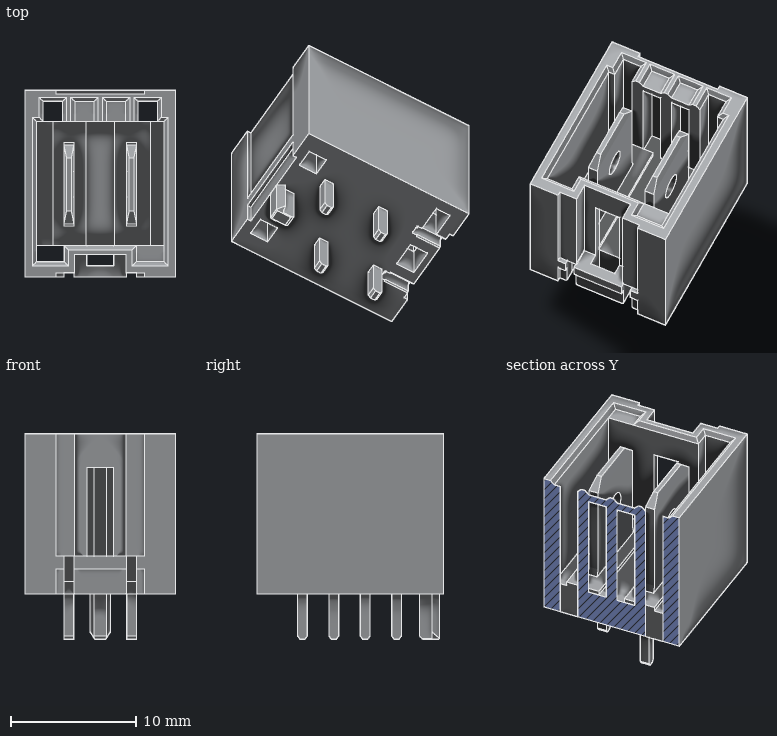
import cadquery as cq

WIDTH = 12.0
LENGTH = 14.9
HEIGHT = 12.8
FRONT = -LENGTH / 2
BACK = LENGTH / 2

CAVITY_HALF_X = 5.08
CAVITY_HALF_Y = 4.95
CORNER_FRONT = -6.23
RIM_CHAMFER = 0.33
FLOOR_TOP = 2.8
PLATFORM_TOP = 3.15
PLATFORMS = [(-3.78, -1.13), (1.13, 3.99)]

POCKET_COUNT = 4
POCKET_PITCH = 2.52
POCKET_WIDTH = 1.54
POCKET_BACK = 6.54
POCKET_ROOF = 0.71

LATCH_OUTER_HALF = 2.88
LATCH_INNER_HALF = 2.04
LATCH_BACK = -5.67
SILL_TOP = 3.03
SILL_BACK = -6.55
WINDOW_HALF = 1.07
WINDOW_TOP = 10.1

RECESS_HALF = 3.53
RECESS_DEPTH = 0.33
BAND_BOTTOM = 2.0

SLOT_INNER = 2.11
SLOT_OUTER = 2.87
SLOT_STEP = 1.03
SLOT_GROOVE_END = -4.5
SLOT_MOUTH_CHAMFER = 0.12

BLADE_X = 2.5
BLADE_Y = -0.06
METAL = 0.8
BLADE_LENGTH = 6.3
BLADE_SHOULDER = 11.35
BLADE_TOP = 12.25
BLADE_TIP_WIDTH = 0.38
BLADE_TIP_LENGTH = 4.22
BLADE_FOOT_LENGTH = 6.68
BLADE_FOOT_TOP = 3.75
BLADE_HOLE_DIAMETER = 2.0
BLADE_HOLE_Z = 8.1
PIN_COUNT = 4
PIN_PITCH = 2.5
PIN_LENGTH = 3.6
PIN_TIP_HEIGHT = 0.28
PIN_TIP_INSET = 0.2

PEG_FRONT = 5.51
PEG_WIDEST = 6.51
PEG_BACK = 7.13
PEG_HALF = 0.82
PEG_FLAT_HALF = 0.48
PEG_TIP_HALF = 0.43
PEG_SIDE_TIP_HEIGHT = 0.6
PEG_FRONT_TIP = 0.27
PEG_BACK_TIP = 0.1


def block(x0, x1, y0, y1, z0, z1):
    """Box given by its limits along each axis."""
    return cq.Workplane("XY").box(x1 - x0, y1 - y0, z1 - z0, centered=False).translate((x0, y0, z0))


def prism(x0, x1, y0, y1, z0, z1, top_grow_x, top_grow_y):
    """Block whose sides slope so that its top grows (or shrinks, if negative) by a margin."""
    x_mid = (x0 + x1) / 2
    y_mid = (y0 + y1) / 2
    return (
        cq.Workplane("XY", origin=(x_mid, y_mid, z0))
        .rect(x1 - x0, y1 - y0)
        .workplane(offset=z1 - z0)
        .rect(x1 - x0 + 2 * top_grow_x, y1 - y0 + 2 * top_grow_y)
        .loft(ruled=True)
    )


def rim(x0, x1, y0, y1):
    """Flared mouth of a rectangular opening in the top face."""
    return prism(x0, x1, y0, y1, HEIGHT - RIM_CHAMFER, HEIGHT, RIM_CHAMFER, RIM_CHAMFER)


def cut_cavity(body):
    """Main cavity, the open corner at -X and the shallow corner at +X beside the latch."""
    rim_bottom = HEIGHT - RIM_CHAMFER
    main = (-CAVITY_HALF_X, CAVITY_HALF_X, -CAVITY_HALF_Y, CAVITY_HALF_Y)
    open_corner = (-CAVITY_HALF_X, -LATCH_OUTER_HALF, CORNER_FRONT, -CAVITY_HALF_Y)
    shallow_corner = (LATCH_OUTER_HALF, CAVITY_HALF_X, CORNER_FRONT, 0)
    body = body.cut(block(*main, FLOOR_TOP, HEIGHT))
    body = body.cut(block(*open_corner, 0, HEIGHT))
    row_half = ((POCKET_COUNT - 1) * POCKET_PITCH + POCKET_WIDTH) / 2
    ribs = block(-row_half, row_half, CAVITY_HALF_Y, BACK, rim_bottom, HEIGHT)
    body = body.cut(rim(*main).cut(ribs))
    body = body.cut(rim(-CAVITY_HALF_X, -LATCH_OUTER_HALF, CORNER_FRONT, 0))
    body = body.cut(rim(*shallow_corner))
    for x0, x1 in PLATFORMS:
        body = body.union(block(x0, x1, -CAVITY_HALF_Y, CAVITY_HALF_Y, FLOOR_TOP, PLATFORM_TOP))
    return body


def cut_pockets(body):
    """Four flared pockets: the outer two run right through, the inner two are roofed slots."""
    for index in range(POCKET_COUNT):
        x_mid = (index - (POCKET_COUNT - 1) / 2) * POCKET_PITCH
        x0 = x_mid - POCKET_WIDTH / 2
        x1 = x_mid + POCKET_WIDTH / 2
        is_outer = index in (0, POCKET_COUNT - 1)
        z0 = 0 if is_outer else FLOOR_TOP
        z1 = HEIGHT if is_outer else HEIGHT - RIM_CHAMFER - POCKET_ROOF
        body = body.cut(block(x0, x1, CAVITY_HALF_Y, POCKET_BACK, z0, z1))
        body = body.cut(rim(x0, x1, 0, POCKET_BACK))
    return body


def cut_latch(body):
    """Latch recess above the sill, with the window into the cavity and the hole in the sill."""
    body = body.cut(block(-LATCH_INNER_HALF, LATCH_INNER_HALF, FRONT, LATCH_BACK, SILL_TOP, HEIGHT))
    body = body.cut(block(-WINDOW_HALF, WINDOW_HALF, LATCH_BACK, -CAVITY_HALF_Y, 0, WINDOW_TOP))
    return body.cut(block(-WINDOW_HALF, WINDOW_HALF, SILL_BACK, LATCH_BACK, 0, SILL_TOP))


def cut_outer_recesses(body):
    """Shallow recesses above and below the band, alike on both end walls."""
    for y0 in (FRONT, BACK - RECESS_DEPTH):
        for z0, z1 in ((0, BAND_BOTTOM), (SILL_TOP, HEIGHT)):
            body = body.cut(block(-RECESS_HALF, RECESS_HALF, y0, y0 + RECESS_DEPTH, z0, z1))
    return body


def cut_sill_slots(body):
    """Slots freeing both ends of the sill, running on as short grooves under the floor."""
    for x0, x1 in ((-SLOT_OUTER, -SLOT_INNER), (SLOT_INNER, SLOT_OUTER)):
        body = body.cut(block(x0, x1, FRONT, -CAVITY_HALF_Y, 0, SILL_TOP))
        body = body.cut(block(x0, x1, -CAVITY_HALF_Y, SLOT_GROOVE_END, 0, SLOT_STEP))
        mouth = (
            cq.Workplane("XZ", origin=(0, FRONT, 0))
            .polyline([
                (x0 - SLOT_MOUTH_CHAMFER, 0),
                (x1 + SLOT_MOUTH_CHAMFER, 0),
                (x1, SLOT_MOUTH_CHAMFER),
                (x0, SLOT_MOUTH_CHAMFER),
            ])
            .close()
            .extrude(FRONT + CAVITY_HALF_Y)
        )
        body = body.cut(mouth)
    return body


def make_blade(x_mid):
    """Upright blade with a sloped foot, a tapered tip and a round cross hole."""
    x0 = x_mid - METAL / 2
    x1 = x_mid + METAL / 2
    y0 = BLADE_Y - BLADE_LENGTH / 2
    y1 = BLADE_Y + BLADE_LENGTH / 2
    blade = block(x0, x1, y0, y1, FLOOR_TOP, BLADE_SHOULDER)
    foot_grow = (BLADE_LENGTH - BLADE_FOOT_LENGTH) / 2
    foot = prism(x0, x1, y0 + foot_grow, y1 - foot_grow, PLATFORM_TOP, BLADE_FOOT_TOP, 0, foot_grow)
    tip_grow_x = (BLADE_TIP_WIDTH - METAL) / 2
    tip_grow_y = (BLADE_TIP_LENGTH - BLADE_LENGTH) / 2
    tip = prism(x0, x1, y0, y1, BLADE_SHOULDER, BLADE_TOP, tip_grow_x, tip_grow_y)
    hole = (
        cq.Workplane("YZ", origin=(x0, BLADE_Y, BLADE_HOLE_Z))
        .circle(BLADE_HOLE_DIAMETER / 2)
        .extrude(METAL)
    )
    return blade.union(foot).union(tip).cut(hole)


def make_pin(x_mid, y_mid):
    """Square solder pin rising into the floor, its tip tapered along Y only."""
    x0 = x_mid - METAL / 2
    x1 = x_mid + METAL / 2
    y0 = y_mid - METAL / 2
    y1 = y_mid + METAL / 2
    tip_top = PIN_TIP_HEIGHT - PIN_LENGTH
    shank = block(x0, x1, y0, y1, tip_top, FLOOR_TOP)
    tip = prism(x0, x1, y0 + PIN_TIP_INSET, y1 - PIN_TIP_INSET, -PIN_LENGTH, tip_top, 0, PIN_TIP_INSET)
    return shank.union(tip)


def make_peg():
    """Locating peg, a rib flanked by two wedges, with a bevelled tip."""
    column = (
        cq.Workplane("XY", origin=(0, 0, -PIN_LENGTH))
        .polyline([
            (-PEG_FLAT_HALF, PEG_FRONT),
            (PEG_FLAT_HALF, PEG_FRONT),
            (PEG_FLAT_HALF, PEG_WIDEST),
            (PEG_HALF, PEG_WIDEST),
            (PEG_FLAT_HALF, PEG_BACK),
            (-PEG_FLAT_HALF, PEG_BACK),
            (-PEG_HALF, PEG_WIDEST),
            (-PEG_FLAT_HALF, PEG_WIDEST),
        ])
        .close()
        .extrude(PIN_LENGTH)
    )
    side_bevel_z = PEG_SIDE_TIP_HEIGHT - PIN_LENGTH
    face_outline = (
        cq.Workplane("XZ")
        .polyline([
            (-PEG_HALF, 0),
            (-PEG_HALF, side_bevel_z),
            (-PEG_TIP_HALF, -PIN_LENGTH),
            (PEG_TIP_HALF, -PIN_LENGTH),
            (PEG_HALF, side_bevel_z),
            (PEG_HALF, 0),
        ])
        .close()
        .extrude(-LENGTH)
    )
    side_outline = (
        cq.Workplane("YZ", origin=(-PEG_HALF, 0, 0))
        .polyline([
            (PEG_FRONT, 0),
            (PEG_FRONT, PEG_FRONT_TIP - PIN_LENGTH),
            (PEG_FRONT + PEG_FRONT_TIP, -PIN_LENGTH),
            (PEG_BACK - PEG_BACK_TIP, -PIN_LENGTH),
            (PEG_BACK, PEG_BACK_TIP - PIN_LENGTH),
            (PEG_BACK, 0),
        ])
        .close()
        .extrude(2 * PEG_HALF)
    )
    return column.intersect(face_outline).intersect(side_outline)


housing = block(-WIDTH / 2, WIDTH / 2, FRONT, BACK, 0, HEIGHT)
housing = cut_cavity(housing)
housing = cut_pockets(housing)
housing = cut_latch(housing)
housing = cut_outer_recesses(housing)
housing = cut_sill_slots(housing)

result = housing.union(make_peg())
for blade_x in (-BLADE_X, BLADE_X):
    result = result.union(make_blade(blade_x))

for pin_index in range(PIN_COUNT):
    pin_x = BLADE_X if pin_index % 2 == 0 else -BLADE_X
    pin_y = BLADE_Y + (pin_index - (PIN_COUNT - 1) / 2) * PIN_PITCH
    result = result.union(make_pin(pin_x, pin_y))